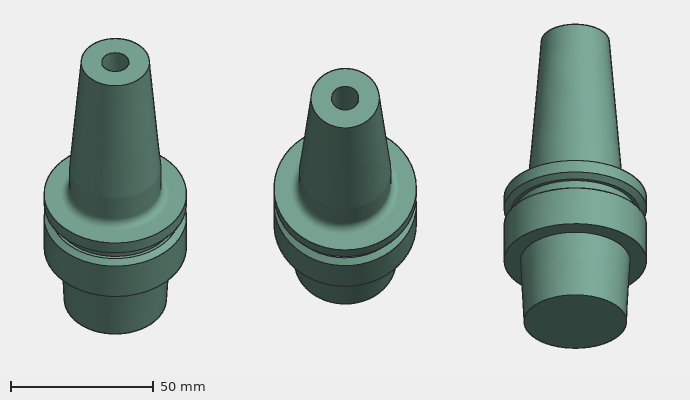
import cadquery as cq
import math

total_height = 115.0
shank_length = 25.0
flange_height = 26.0
flange_top = shank_length + flange_height

shank_taper = 1 / 10
shank_end_radius = 18.0
shank_flange_radius = shank_end_radius + shank_length * shank_taper / 2

flange_radius = 25.0
groove_floor_radius = 21.5
groove_width = 3.75
groove_centre_above_shank = 18.0
groove_centre = shank_length + groove_centre_above_shank
groove_flank_depth = 2.4
groove_flank_angle = math.radians(30)
groove_flank_height = groove_flank_depth * math.tan(groove_flank_angle)

collar_radius = 16.0
collar_fillet = 3.0
tip_radius = 12.0
nose_half_angle = math.radians(4.5)
cone_height = (collar_radius - tip_radius) / math.tan(nose_half_angle)

bore_diameter = 9.5
bore_depth = 42.0


def revolve_about_z(profile):
    """Turn a closed radius-height profile a full revolution about Z."""
    return profile.close().revolve(360, (0, 0, 0), (0, 1, 0))


def holder_body():
    """Shank, flange and nose as one turned body."""
    fillet_start = (collar_radius + collar_fillet, flange_top)
    fillet_middle = (
        collar_radius + collar_fillet * (1 - math.sin(math.pi / 4)),
        flange_top + collar_fillet * (1 - math.cos(math.pi / 4)),
    )
    fillet_end = (collar_radius, flange_top + collar_fillet)
    profile = (
        cq.Workplane("XZ")
        .lineTo(shank_end_radius, 0)
        .lineTo(shank_flange_radius, shank_length)
        .lineTo(flange_radius, shank_length)
        .lineTo(flange_radius, flange_top)
        .lineTo(*fillet_start)
        .threePointArc(fillet_middle, fillet_end)
        .lineTo(collar_radius, total_height - cone_height)
        .lineTo(tip_radius, total_height)
        .lineTo(0, total_height)
    )
    return revolve_about_z(profile)


def gripper_groove():
    """Ring cut from the flange: square-sided at the floor, flared at the rim."""
    lower_side = groove_centre - groove_width / 2
    upper_side = groove_centre + groove_width / 2
    flank_radius = flange_radius - groove_flank_depth
    profile = (
        cq.Workplane("XZ")
        .moveTo(groove_floor_radius, lower_side)
        .lineTo(flank_radius, lower_side)
        .lineTo(flange_radius, lower_side - groove_flank_height)
        .lineTo(flange_radius, upper_side + groove_flank_height)
        .lineTo(flank_radius, upper_side)
        .lineTo(groove_floor_radius, upper_side)
    )
    return revolve_about_z(profile)


def tool_bore():
    """Flat-bottomed bore running down from the tip."""
    return (
        cq.Workplane("XY")
        .workplane(offset=total_height - bore_depth)
        .circle(bore_diameter / 2)
        .extrude(bore_depth)
    )


result = holder_body().cut(gripper_groove()).cut(tool_bore())